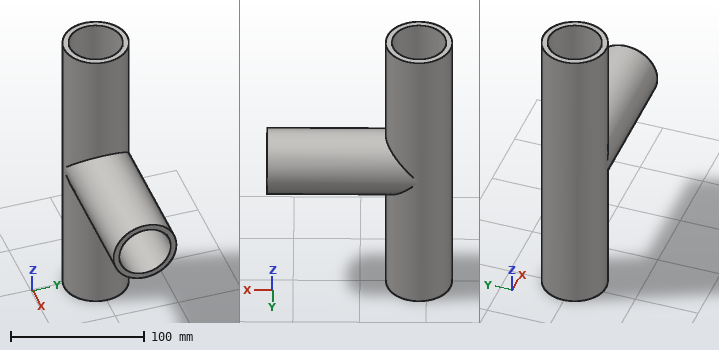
import cadquery as cq

run_length = 229.0
outer_diameter = 50.0
wall_thickness = 4.5
overall_width = 139.0

outer_radius = outer_diameter / 2
bore_radius = outer_radius - wall_thickness
branch_reach = overall_width - outer_radius


def tee_solid(radius):
    """Return a solid run cylinder joined to a branch cylinder, axes meeting at the origin."""
    run = cq.Workplane("XY").circle(radius).extrude(run_length / 2, both=True)
    branch = cq.Workplane("YZ").circle(radius).extrude(branch_reach)
    return run.union(branch)


result = tee_solid(outer_radius).cut(tee_solid(bore_radius))